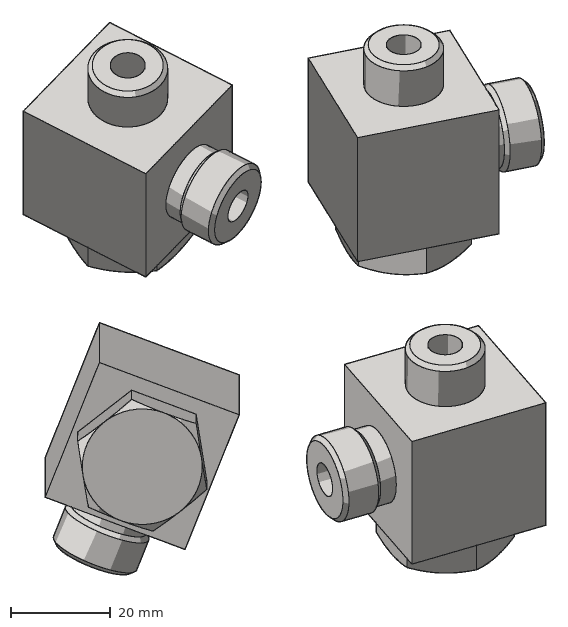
import cadquery as cq
import math

overall_length = 42.0
overall_height = 47.5

body_side = 30.0
half_side = body_side / 2

hex_height = 8.0
hex_across_flats = 24.0
hex_across_corners = hex_across_flats * 2 / math.sqrt(3)
hex_chamfer_angle = 30

spigot_diameter = 16.0
spigot_height = overall_height - body_side - hex_height

port_length = overall_length - body_side
neck_diameter = 16.15
neck_length = 3.5
collar_diameter = 18.0
collar_length = port_length - neck_length

edge_chamfer = 0.9
bore_diameter = 7.0


def make_hexagon():
    """Hexagon whose lower corners are cut by a cone touching the flats."""
    bottom = -half_side - hex_height
    hexagon = (
        cq.Workplane("XY", origin=(0, 0, bottom))
        .polygon(6, hex_across_corners)
        .extrude(hex_height)
        .rotate((0, 0, 0), (0, 0, 1), 90)
    )
    flat_radius = hex_across_flats / 2
    corner_radius = hex_across_corners / 2
    corner_rise = (corner_radius - flat_radius) * math.tan(math.radians(hex_chamfer_angle))
    envelope = (
        cq.Workplane("XZ")
        .moveTo(0, bottom)
        .lineTo(flat_radius, bottom)
        .lineTo(corner_radius, bottom + corner_rise)
        .lineTo(corner_radius, -half_side)
        .lineTo(0, -half_side)
        .close()
        .revolve(360, (0, 0, 0), (0, 1, 0))
    )
    return hexagon.intersect(envelope)


def make_spigot():
    return (
        cq.Workplane("XY", origin=(0, 0, half_side))
        .circle(spigot_diameter / 2)
        .extrude(spigot_height)
        .faces(">Z")
        .chamfer(edge_chamfer)
    )


def make_port():
    neck = (
        cq.Workplane("YZ", origin=(half_side, 0, 0))
        .circle(neck_diameter / 2)
        .extrude(neck_length)
    )
    collar = (
        cq.Workplane("YZ", origin=(half_side + neck_length, 0, 0))
        .circle(collar_diameter / 2)
        .extrude(collar_length)
        .faces("<X or >X")
        .chamfer(edge_chamfer)
    )
    return neck.union(collar)


def make_elbow_bore():
    """Passage from the spigot to the port, with a spherical elbow at the centre."""
    bore_radius = bore_diameter / 2
    vertical = cq.Workplane("XY").circle(bore_radius).extrude(half_side + spigot_height)
    horizontal = cq.Workplane("YZ").circle(bore_radius).extrude(half_side + port_length)
    elbow = cq.Workplane("XY").sphere(bore_radius)
    return vertical.union(horizontal).union(elbow)


body = cq.Workplane("XY").box(body_side, body_side, body_side)
solid_fitting = body.union(make_hexagon()).union(make_spigot()).union(make_port())
result = solid_fitting.cut(make_elbow_bore())